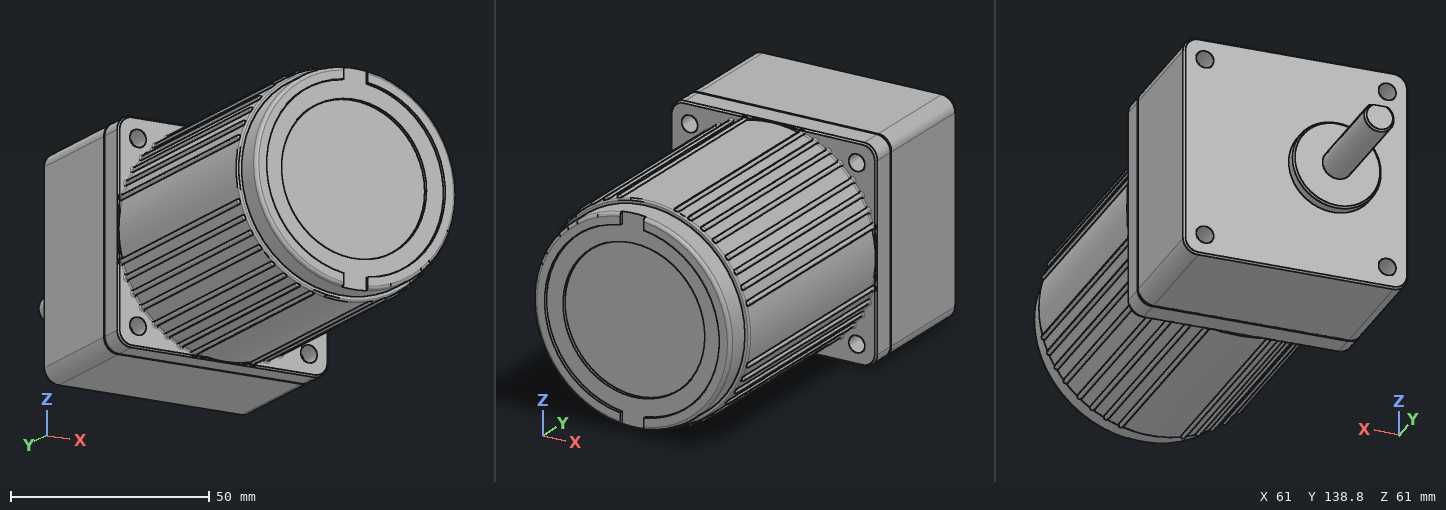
import cadquery as cq


side = 61.0
corner_radius = 4.0
edge_chamfer = 0.5

hole_diameter = 4.7
hole_offset = 24.7

gearbox_length = 31.8
boss_diameter = 24.0
boss_height = 3.0
shaft_offset = 10.0
shaft_diameter = 8.0
shaft_length = 29.0
flat_length = 20.0
flat_depth = 1.0

flange_thickness = 6.8
barrel_end = 68.1
barrel_radius = side / 2
barrel_edge_fillet = 0.5
root_fillet = 0.4

rib_radius = 0.7
rib_pitch = 8.0
ribs_per_group = 8
rib_middle_gap = 10.0

cap_end = 75.0
cap_radius = 29.2
rim_height = 1.0
rim_inner_radius = 25.9
rim_slot_width = 7.0
cap_recess_radius = 21.0
cap_recess_depth = 1.0


def cylinder(radius, y_start, y_end, x=0):
    """Round bar along Y from y_start to y_end, with its axis at the given X."""
    return cq.Workplane("XZ", origin=(x, y_start, 0)).circle(radius).extrude(y_start - y_end)


def square_block(y_start, y_end):
    """Square block along Y with rounded corners."""
    block = cq.Workplane("XZ", origin=(0, y_start, 0)).rect(side, side).extrude(y_start - y_end)
    return block.edges("|Y").fillet(corner_radius)


def screw_holes(y_start, y_end):
    """Four cylinders to cut at the corners of the square section."""
    return (
        cq.Workplane("XZ", origin=(0, y_start, 0))
        .rect(2 * hole_offset, 2 * hole_offset, forConstruction=True)
        .vertices()
        .circle(hole_diameter / 2)
        .extrude(y_start - y_end)
    )


def make_shaft():
    """Output shaft with a chamfered tip and a flat on its upper side."""
    root = gearbox_length + boss_height
    tip = root + shaft_length
    shaft = cylinder(shaft_diameter / 2, root, tip, -shaft_offset).faces(">Y").chamfer(edge_chamfer)
    flat_cut = cq.Workplane("XY").box(shaft_diameter, flat_length, flat_depth, centered=(True, False, False))
    return shaft.cut(flat_cut.translate((-shaft_offset, tip - flat_length, shaft_diameter / 2 - flat_depth)))


def make_gearbox():
    """Gearbox block with its boss and output shaft."""
    block = square_block(0, gearbox_length).faces("<Y or >Y").chamfer(edge_chamfer)
    boss_face = gearbox_length + boss_height
    boss = cylinder(boss_diameter / 2, gearbox_length, boss_face, -shaft_offset)
    boss = boss.faces(">Y").chamfer(edge_chamfer)
    block = block.cut(screw_holes(0, gearbox_length))
    return block.union(boss).union(make_shaft())


def rib_angles():
    """Angles of all ribs: each group is symmetric about a diagonal of the square."""
    half = ribs_per_group // 2
    for diagonal in (45, 135, 225, 315):
        for step in range(half):
            offset = rib_middle_gap / 2 + step * rib_pitch
            yield diagonal - offset
            yield diagonal + offset


def flared_bar(radius, end):
    """Bar on the motor axis with a concave fillet at the flange and a rounded edge at its free end."""
    return (
        cq.Workplane("XY")
        .moveTo(0, -flange_thickness)
        .lineTo(radius + root_fillet, -flange_thickness)
        .radiusArc((radius, -flange_thickness - root_fillet), -root_fillet)
        .lineTo(radius, barrel_edge_fillet - end)
        .tangentArcPoint((radius - barrel_edge_fillet, -end), relative=False)
        .lineTo(0, -end)
        .close()
        .revolve(360, (0, 0, 0), (0, 1, 0))
    )


def make_barrel():
    """Round barrel with half-round ribs, kept within the square section."""
    barrel = flared_bar(barrel_radius, barrel_end)
    rib = flared_bar(rib_radius, barrel_end - barrel_edge_fillet).translate((barrel_radius, 0, 0))
    ribs = [rib.rotate((0, 0, 0), (0, 1, 0), angle).val() for angle in rib_angles()]
    ribbed_barrel = cq.Workplane(obj=barrel.val().fuse(*ribs))
    return ribbed_barrel.intersect(square_block(-flange_thickness, -barrel_end))


def make_end_cap():
    """Cap with a slotted rim and a round recess."""
    floor = cap_end - rim_height
    cap = cylinder(cap_radius, -barrel_end, -cap_end).faces("<Y").edges().fillet(rim_height)
    cap = cap.cut(cylinder(rim_inner_radius, -floor, -cap_end))
    slot = cq.Workplane("XY").box(rim_slot_width, rim_height, side, centered=(True, False, True))
    cap = cap.cut(slot.translate((0, -cap_end, 0)))
    return cap.cut(cylinder(cap_recess_radius, -floor + cap_recess_depth, -floor))


def make_motor():
    """Flange, ribbed barrel and end cap."""
    flange = square_block(0, -flange_thickness).faces("<Y").chamfer(edge_chamfer)
    flange = flange.cut(screw_holes(0, -flange_thickness))
    return flange.union(make_barrel()).union(make_end_cap())


gearbox = make_gearbox()
motor = make_motor()

result = cq.Compound.makeCompound([gearbox.val(), motor.val()])